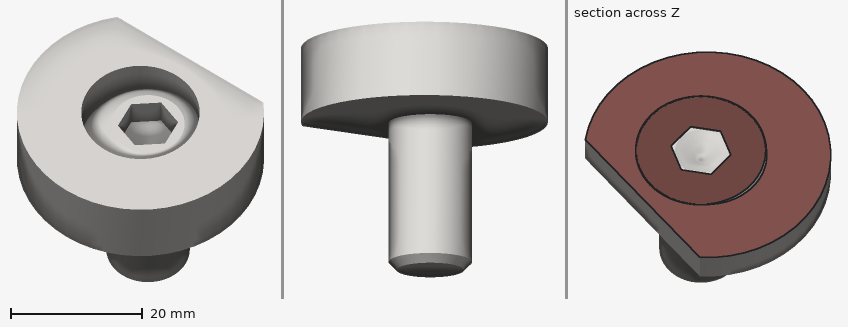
import cadquery as cq
import math

washer_diameter = 37.6
washer_thickness = 11.43
flat_distance = 12.7
opening_diameter = 18.0

screw_x = 1.25
screw_y = 0.25
shank_diameter = 12.7
shank_length = 25.4
tip_chamfer = 1.25
head_diameter = 22.2
head_height = 6.73
head_face_diameter = 11.13
hex_across_flats = 7.95
hex_depth = 4.45
hex_turn = 10.7
drill_point_angle = 120.0

total_height = 34.3
screw_tip_z = washer_thickness - total_height
head_seat_z = screw_tip_z + shank_length
head_face_z = head_seat_z + head_height

head_radius = head_diameter / 2
head_face_radius = head_face_diameter / 2
shank_radius = shank_diameter / 2
head_middle_z = (head_seat_z + head_face_z) / 2
dome_center_z = head_middle_z - (head_radius**2 - head_face_radius**2) / (2 * head_height)
dome_radius = math.hypot(head_radius, head_seat_z - dome_center_z)
dome_middle_r = (head_radius + head_face_radius) / 2
dome_middle_z = dome_center_z + math.sqrt(dome_radius**2 - dome_middle_r**2)


def make_screw_blank():
    """Revolved shank and domed head, without the socket."""
    return (
        cq.Workplane("XZ")
        .moveTo(0, screw_tip_z)
        .lineTo(shank_radius - tip_chamfer, screw_tip_z)
        .lineTo(shank_radius, screw_tip_z + tip_chamfer)
        .lineTo(shank_radius, head_seat_z)
        .lineTo(head_radius, head_seat_z)
        .threePointArc((dome_middle_r, dome_middle_z), (head_face_radius, head_face_z))
        .lineTo(0, head_face_z)
        .close()
        .revolve(360, (0, 0, 0), (0, 1, 0))
        .translate((screw_x, screw_y, 0))
    )


def make_socket():
    """Hexagonal socket ending in a conical drill point."""
    floor_z = head_face_z - hex_depth
    drill_radius = hex_across_flats / 2
    point_depth = drill_radius / math.tan(math.radians(drill_point_angle / 2))
    hexagon = (
        cq.Workplane("XY")
        .workplane(offset=floor_z)
        .polygon(6, hex_across_flats, circumscribed=True)
        .extrude(hex_depth)
        .rotate((0, 0, 0), (0, 0, 1), hex_turn)
    )
    drill_point = cq.Workplane(
        cq.Solid.makeCone(0, drill_radius, point_depth, pnt=cq.Vector(0, 0, floor_z - point_depth))
    )
    return hexagon.union(drill_point).translate((screw_x, screw_y, 0))


def make_washer(screw_blank):
    """Flatted disc with an access opening and a recess that matches the screw."""
    washer_radius = washer_diameter / 2
    half_flat = math.sqrt(washer_radius**2 - flat_distance**2)
    disc = (
        cq.Workplane("XY")
        .moveTo(-half_flat, flat_distance)
        .threePointArc((0, -washer_radius), (half_flat, flat_distance))
        .close()
        .extrude(washer_thickness)
    )
    opening = (
        cq.Workplane("XY")
        .workplane(offset=head_seat_z)
        .circle(opening_diameter / 2)
        .extrude(washer_thickness - head_seat_z)
    )
    return disc.cut(opening).cut(screw_blank)


screw_blank = make_screw_blank()
washer = make_washer(screw_blank)
screw = screw_blank.cut(make_socket())

result = cq.Compound.makeCompound([washer.solids().val(), screw.solids().val()])